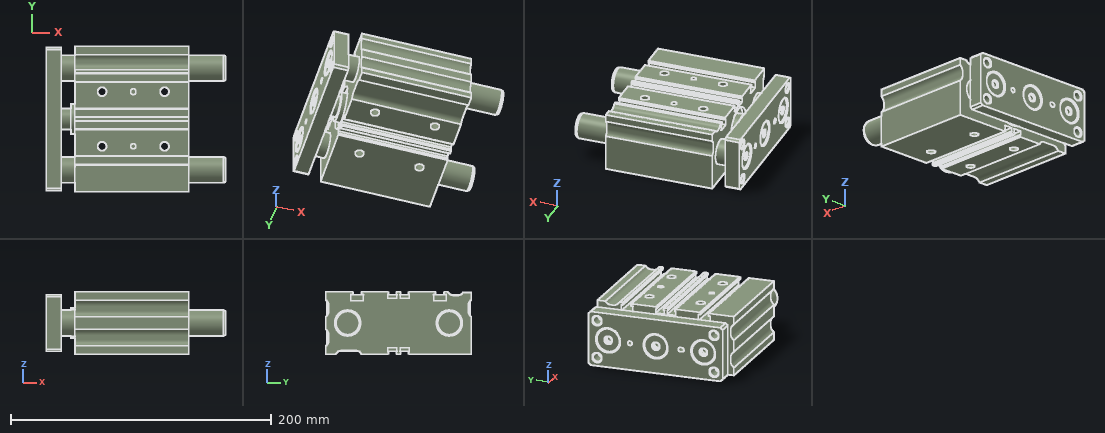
import cadquery as cq
import math

overall_length = 138.0

housing_start = 22.1
housing_length = 87.6
housing_width = 112.0
housing_height = 48.0
top_edge_drop = 0.5

plate_thickness = 11.7
plate_width = 110.1
plate_height = 43.7
plate_chamfer_y = 2.0
plate_chamfer_z = 1.7
corner_hole_y = 48.0
corner_hole_z = 15.0
corner_hole_diameter = 6.8
corner_hole_chamfer = 0.7
corner_hole_taper = 45

rod_spacing = 39.0
guide_diameter = 20.0
piston_diameter = 16.4
piston_end_margin = 13.8
front_recess = 0.7
front_chamfer = 0.8
tail_taper_length = 1.4
tail_taper_depth = 0.5
tail_tip_length = 0.5
tail_tip_depth = 0.5
socket_diameter = 5.0
socket_chamfer = 0.8
socket_depth = 4.1
socket_cone_height = 1.5
collar_diameter = 23.2
collar_start = 19.0
collar_length = 11.0
collar_recess_diameter = 33.7
collar_recess_depth = 2.8

locating_y = 21.0
locating_slot_length = 4.5
plate_locating_diameter = 3.6
housing_locating_diameter = 4.0
housing_locating_depth = 5.5

housing_pattern_x = 66.9
mount_hole_pitch_x = 48.0
mount_hole_diameter = 6.6

lip_thickness = 2.1
lip_chamfer = 0.5
outer_slot_y = 31.7
outer_slot_mouth = 6.2
outer_slot_cavity = 9.7
outer_slot_depth = 6.9
inner_slot_y = 4.7
inner_slot_mouth = 5.7
inner_slot_cavity = 6.9
inner_slot_depth = 5.0

flank_angle = math.radians(45)
groove_arc_width = 3.6
side_groove_z = 11.2
side_groove_flank = 1.1
side_groove_floor = 3.6
steep_arc_width = 4.4
broad_groove_flank = 1.5
top_groove_rim_y = 49.4
top_groove_floor = 2.1
bottom_groove_rim_y = -28.7
bottom_groove_floor = 10.1

half_width = housing_width / 2
half_height = housing_height / 2
overshoot = 1.4


def along_x(start):
    """Sketch plane at X = start, with local x = Y and local y = Z, extruding toward +X."""
    return cq.Workplane("YZ", origin=(start, 0, 0))


def cylinder(diameter, start, length, y=0.0):
    return along_x(start).center(y, 0).circle(diameter / 2).extrude(length)


def place_on_face(cutter, angle, y, z):
    """Turn a cutter that opens toward +Z about X and move its mouth to (y, z)."""
    return cutter.rotate((0, 0, 0), (1, 0, 0), angle).translate((0, y, z))


def t_slot(mouth, cavity, depth):
    """T-slot cutter whose mouth lies at Z = 0, with both lip edges chamfered."""
    half_mouth = mouth / 2
    half_flare = half_mouth + lip_chamfer
    half_cavity = cavity / 2
    right_side = [
        (half_flare, overshoot),
        (half_flare, 0),
        (half_mouth, -lip_chamfer),
        (half_mouth, lip_chamfer - lip_thickness),
        (half_flare, -lip_thickness),
        (half_cavity, -lip_thickness),
        (half_cavity, -depth),
    ]
    left_side = [(-y, z) for y, z in reversed(right_side)]
    return along_x(housing_start).polyline(right_side + left_side).close().extrude(housing_length)


def groove_depth(flank):
    return flank + groove_arc_width * math.tan(flank_angle / 2)


def floor_arc_middle(width, rise):
    """Middle of an arc that starts level at (0, 0) and ends at (width, rise)."""
    half_turn = math.atan2(rise, width)
    radius = width / math.sin(2 * half_turn)
    return radius * math.sin(half_turn), radius * (1 - math.cos(half_turn))


def side_groove():
    """Symmetric groove cutter with 45 degree flanks, its mouth at Z = 0."""
    floor_z = -groove_depth(side_groove_flank)
    half_floor = side_groove_floor / 2
    half_arc = half_floor + groove_arc_width
    half_mouth = half_arc + side_groove_flank
    middle_y, middle_rise = floor_arc_middle(groove_arc_width, -side_groove_flank - floor_z)
    return (
        along_x(housing_start)
        .moveTo(-half_mouth - overshoot, overshoot)
        .lineTo(-half_arc, -side_groove_flank)
        .threePointArc((-half_floor - middle_y, floor_z + middle_rise), (-half_floor, floor_z))
        .lineTo(half_floor, floor_z)
        .threePointArc((half_floor + middle_y, floor_z + middle_rise), (half_arc, -side_groove_flank))
        .lineTo(half_mouth + overshoot, overshoot)
        .close()
        .extrude(housing_length)
    )


def broad_groove(floor_width, rim_drop):
    """Groove cutter with a steep arc rising to its rim at (Y = 0, Z = -rim_drop).

    The groove runs from the rim toward -Y and ends there in an arc and a 45 degree flank
    whose mouth is at Z = 0.
    """
    floor_z = -groove_depth(broad_groove_flank)
    floor_start = -steep_arc_width
    floor_end = floor_start - floor_width
    flank_start = floor_end - groove_arc_width
    mouth_end = flank_start - broad_groove_flank
    steep_y, steep_rise = floor_arc_middle(steep_arc_width, -rim_drop - floor_z)
    gentle_y, gentle_rise = floor_arc_middle(groove_arc_width, -broad_groove_flank - floor_z)
    return (
        along_x(housing_start)
        .moveTo(0, overshoot)
        .lineTo(0, -rim_drop)
        .threePointArc((floor_start + steep_y, floor_z + steep_rise), (floor_start, floor_z))
        .lineTo(floor_end, floor_z)
        .threePointArc((floor_end - gentle_y, floor_z + gentle_rise), (flank_start, -broad_groove_flank))
        .lineTo(mouth_end - overshoot, overshoot)
        .close()
        .extrude(housing_length)
    )


def cut_t_slots(body):
    outer_slot = t_slot(outer_slot_mouth, outer_slot_cavity, outer_slot_depth)
    inner_slot = t_slot(inner_slot_mouth, inner_slot_cavity, inner_slot_depth)
    for side in (-1, 1):
        body = body.cut(place_on_face(outer_slot, 0, side * outer_slot_y, half_height))
        body = body.cut(place_on_face(inner_slot, 0, side * inner_slot_y, half_height))
        body = body.cut(place_on_face(inner_slot, 180, side * inner_slot_y, -half_height))
    return body


def cut_grooves(body):
    edge_strip = (
        along_x(housing_start)
        .moveTo(top_groove_rim_y, half_height - top_edge_drop)
        .lineTo(half_width, half_height - top_edge_drop)
        .lineTo(half_width, half_height)
        .lineTo(top_groove_rim_y, half_height)
        .close()
        .extrude(housing_length)
    )
    top_groove = broad_groove(top_groove_floor, top_edge_drop).translate((0, top_groove_rim_y, half_height))
    bottom_groove = (
        broad_groove(bottom_groove_floor, 0)
        .mirror("XY")
        .translate((0, bottom_groove_rim_y, -half_height))
    )
    body = body.cut(edge_strip).cut(top_groove).cut(bottom_groove)
    body = body.cut(place_on_face(side_groove(), -90, half_width, side_groove_z))
    for z in (-side_groove_z, side_groove_z):
        body = body.cut(place_on_face(side_groove(), 90, -half_width, z))
    return body


def top_sketch():
    """Sketch plane on the housing top face, centred on the mounting hole pattern."""
    return cq.Workplane("XY", origin=(housing_pattern_x, 0, half_height))


def cut_top_holes(body):
    mount_holes = (
        top_sketch()
        .rarray(mount_hole_pitch_x, 2 * locating_y, 2, 2)
        .circle(mount_hole_diameter / 2)
        .extrude(-housing_height)
    )
    round_hole = (
        top_sketch()
        .center(0, -locating_y)
        .circle(housing_locating_diameter / 2)
        .extrude(-housing_locating_depth)
    )
    slot_hole = (
        top_sketch()
        .center(0, locating_y)
        .slot2D(locating_slot_length, housing_locating_diameter, 90)
        .extrude(-housing_locating_depth)
    )
    return body.cut(mount_holes).cut(round_hole).cut(slot_hole)


def make_housing():
    body = along_x(housing_start).rect(housing_width, housing_height).extrude(housing_length)
    body = cut_t_slots(body)
    body = cut_grooves(body)
    body = cut_top_holes(body)
    for y in (-rod_spacing, rod_spacing):
        body = body.cut(cylinder(guide_diameter, housing_start, housing_length, y))
    body = body.cut(cylinder(piston_diameter, housing_start, housing_length - piston_end_margin))
    body = body.cut(cylinder(collar_recess_diameter, housing_start, collar_recess_depth))
    collar_seat = collar_start + collar_length - housing_start
    return body.cut(cylinder(collar_diameter, housing_start, collar_seat))


def plate_corner_pattern():
    return along_x(0).rarray(2 * corner_hole_y, 2 * corner_hole_z, 2, 2)


def make_plate():
    half_y = plate_width / 2
    half_z = plate_height / 2
    outline = [
        (half_y, half_z - plate_chamfer_z),
        (half_y - plate_chamfer_y, half_z),
        (plate_chamfer_y - half_y, half_z),
        (-half_y, half_z - plate_chamfer_z),
        (-half_y, plate_chamfer_z - half_z),
        (plate_chamfer_y - half_y, -half_z),
        (half_y - plate_chamfer_y, -half_z),
        (half_y, plate_chamfer_z - half_z),
    ]
    plate = along_x(0).polyline(outline).close().extrude(plate_thickness)
    corner_holes = plate_corner_pattern().circle(corner_hole_diameter / 2).extrude(plate_thickness)
    countersinks = (
        plate_corner_pattern()
        .circle(corner_hole_diameter / 2 + corner_hole_chamfer)
        .extrude(corner_hole_chamfer, taper=corner_hole_taper)
    )
    round_hole = cylinder(plate_locating_diameter, 0, plate_thickness, locating_y)
    slot_hole = (
        along_x(0)
        .center(-locating_y, 0)
        .slot2D(locating_slot_length, plate_locating_diameter)
        .extrude(plate_thickness)
    )
    plate = plate.cut(corner_holes).cut(countersinks).cut(round_hole).cut(slot_hole)
    for y in (-rod_spacing, 0, rod_spacing):
        plate = plate.cut(cylinder(guide_diameter, 0, plate_thickness, y))
    return plate


def revolve_about_x(profile):
    """Turn (X, radius) points into a solid of revolution about the X axis."""
    return cq.Workplane("XY").polyline(profile).close().revolve(360, (0, 0, 0), (1, 0, 0))


def front_end_profile():
    """Front face of a rod, from its cone-bottomed centre hole to its chamfered rim."""
    socket_radius = socket_diameter / 2
    rod_radius = guide_diameter / 2
    return [
        (front_recess + socket_depth + socket_cone_height, 0),
        (front_recess + socket_depth, socket_radius),
        (front_recess + socket_chamfer, socket_radius),
        (front_recess, socket_radius + socket_chamfer),
        (front_recess, rod_radius - front_chamfer),
        (front_recess + front_chamfer, rod_radius),
    ]


def make_guide_rod(y):
    rod_radius = guide_diameter / 2
    tip_start = overall_length - tail_tip_length
    tip_radius = rod_radius - tail_taper_depth
    tail_profile = [
        (tip_start - tail_taper_length, rod_radius),
        (tip_start, tip_radius),
        (overall_length, tip_radius - tail_tip_depth),
        (overall_length, 0),
    ]
    return revolve_about_x(front_end_profile() + tail_profile).translate((0, y, 0))


def make_piston_rod():
    piston_end = housing_start + housing_length - piston_end_margin
    shaft_radius = piston_diameter / 2
    head_and_shaft_profile = [
        (plate_thickness, guide_diameter / 2),
        (plate_thickness, shaft_radius),
        (piston_end, shaft_radius),
        (piston_end, 0),
    ]
    return revolve_about_x(front_end_profile() + head_and_shaft_profile)


def make_collar():
    return (
        along_x(collar_start)
        .circle(collar_diameter / 2)
        .circle(piston_diameter / 2)
        .extrude(collar_length)
    )


housing = make_housing()
plate = make_plate()
guide_rods = [make_guide_rod(y) for y in (-rod_spacing, rod_spacing)]
piston_rod = make_piston_rod()
collar = make_collar()

result = cq.Compound.makeCompound([
    housing.val(),
    plate.val(),
    *[rod.val() for rod in guide_rods],
    piston_rod.val(),
    collar.val(),
])